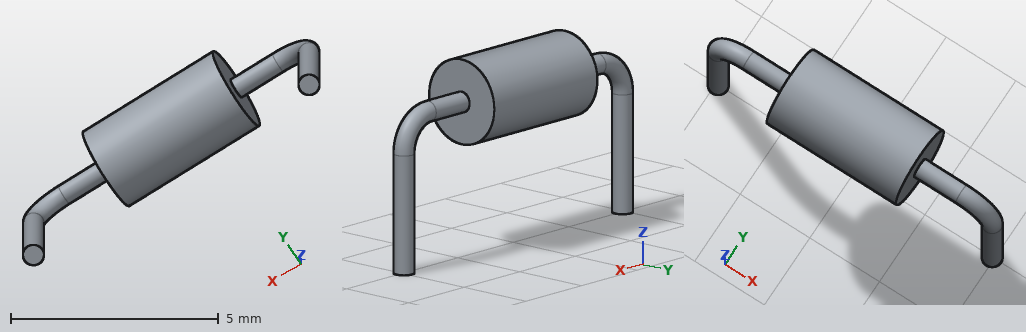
import cadquery as cq

overall_length = 8.38
overall_height = 4.9

housing_diameter = 2.11
housing_length = 3.71

wire_diameter = 0.51
bend_radius = 0.88

axis_height = overall_height - housing_diameter / 2
housing_end = housing_length / 2
leg_x = (overall_length - wire_diameter) / 2
bend_start_x = leg_x - bend_radius
bend_end_z = axis_height - bend_radius


def make_housing():
    """Plain cylinder centred on the X axis of the part."""
    return (
        cq.Workplane("YZ", origin=(-housing_end, 0, axis_height))
        .circle(housing_diameter / 2)
        .extrude(housing_length)
    )


def make_lead(side):
    """Bent wire from a housing end face down to Z = 0; side is -1 or +1 along X."""
    path = (
        cq.Workplane("XZ")
        .moveTo(side * housing_end, axis_height)
        .lineTo(side * bend_start_x, axis_height)
        .tangentArcPoint((side * leg_x, bend_end_z), relative=False)
        .lineTo(side * leg_x, 0)
    )
    return (
        cq.Workplane("YZ", origin=(side * housing_end, 0, axis_height))
        .circle(wire_diameter / 2)
        .sweep(path)
    )


housing = make_housing()
leads = [make_lead(side) for side in (-1, 1)]

result = cq.Compound.makeCompound([housing.val(), *[lead.val() for lead in leads]])